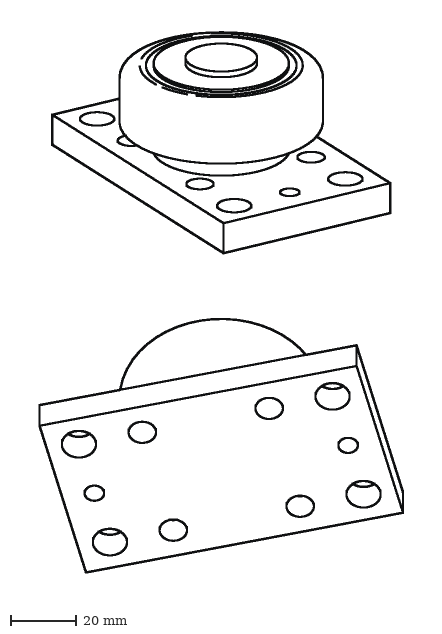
import cadquery as cq
import math

plate_length = 100.0
plate_width = 60.0
plate_thickness = 10.0
corner_hole_diameter = 10.5
corner_hole_x = 40.0
inner_hole_diameter = 8.4
inner_hole_x = 20.0
hole_row_y = 20.0
dowel_hole_diameter = 6.0

neck_diameter = 42.0
neck_top = 17.5
hub_face_diameter = 41.5
hub_top = 38.5

roller_diameter = 62.5
roller_bottom = 17.8
roller_top = 37.8
crown_height = 0.02
bottom_round = 1.5
tread_top = 33.4
shoulder_radius = 29.3
shoulder_height = 36.4
top_face_radius = 25.0

seal_diameter = 46.2
seal_thickness = 2.0
seal_drop = 0.1
seal_top = roller_top - seal_drop
seal_bottom = seal_top - seal_thickness

pin_diameter = 22.0
pin_top = 40.5
pin_bevel_width = 0.5
pin_bevel_height = 0.1
pin_socket_depth = 5.0
pin_bottom = hub_top - pin_socket_depth


def cylinder(diameter, bottom, top):
    """Upright cylinder on the Z axis between two heights."""
    return cq.Workplane("XY").workplane(offset=bottom).circle(diameter / 2).extrude(top - bottom)


def make_plate():
    """Flat plate with three patterns of through holes."""
    plate = cq.Workplane("XY").box(plate_length, plate_width, plate_thickness, centered=(True, True, False))
    hole_patterns = [
        (corner_hole_diameter, corner_hole_x, [-hole_row_y, hole_row_y]),
        (inner_hole_diameter, inner_hole_x, [-hole_row_y, hole_row_y]),
        (dowel_hole_diameter, corner_hole_x, [0]),
    ]
    for diameter, hole_x, rows in hole_patterns:
        points = [(x, y) for x in (-hole_x, hole_x) for y in rows]
        plate = plate.faces(">Z").workplane(origin=(0, 0, 0)).pushPoints(points).hole(diameter)
    return plate


def make_neck():
    """Plain round spacer between plate and hub."""
    return cylinder(neck_diameter, plate_thickness, neck_top)


def make_hub():
    """Stepped hub with a blind socket for the pin."""
    hub = cylinder(neck_diameter, neck_top, seal_bottom)
    hub = hub.union(cylinder(hub_face_diameter, seal_bottom, hub_top))
    return hub.cut(cylinder(pin_diameter, pin_bottom, hub_top))


def make_roller():
    """Revolved ring: crowned tread, rounded edges, sloping shoulder and a seal recess."""
    crown_radius = roller_diameter / 2
    tread_radius = crown_radius - crown_height
    bore_radius = neck_diameter / 2
    seal_radius = seal_diameter / 2
    tread_bottom = roller_bottom + bottom_round
    tread_middle = (tread_bottom + tread_top) / 2
    round_middle = bottom_round * (1 - math.sqrt(0.5))
    profile = (
        cq.Workplane("XZ")
        .moveTo(bore_radius, roller_bottom)
        .lineTo(tread_radius - bottom_round, roller_bottom)
        .threePointArc(
            (tread_radius - round_middle, roller_bottom + round_middle),
            (tread_radius, tread_bottom),
        )
        .threePointArc((crown_radius, tread_middle), (tread_radius, tread_top))
        .tangentArcPoint((shoulder_radius, shoulder_height), relative=False)
        .lineTo(top_face_radius, roller_top)
        .lineTo(seal_radius, roller_top)
        .lineTo(seal_radius, seal_bottom)
        .lineTo(bore_radius, seal_bottom)
        .close()
    )
    return profile.revolve(360, (0, 0, 0), (0, 1, 0))


def make_seal():
    """Flat ring filling the recess between roller and hub."""
    return cylinder(seal_diameter, seal_bottom, seal_top).cut(
        cylinder(hub_face_diameter, seal_bottom, seal_top)
    )


def make_pin():
    """Round pin with a slightly bevelled top edge."""
    return cylinder(pin_diameter, pin_bottom, pin_top).faces(">Z").chamfer(pin_bevel_height, pin_bevel_width)


plate = make_plate()
neck = make_neck()
hub = make_hub()
roller = make_roller()
seal = make_seal()
pin = make_pin()

bodies = [plate, neck, hub, roller, seal, pin]
result = cq.Compound.makeCompound([body.val() for body in bodies])